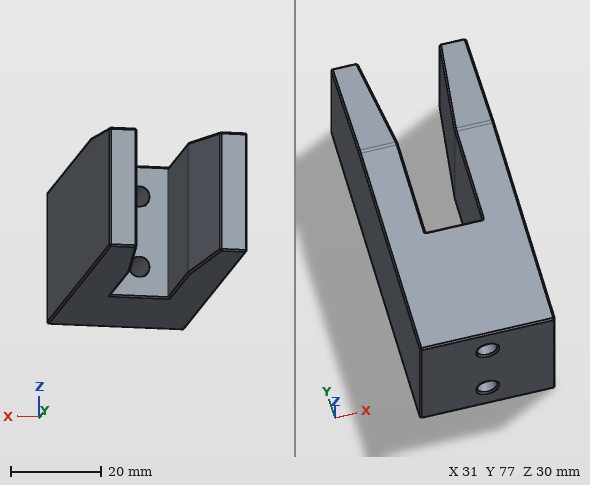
import cadquery as cq

width = 31.0
length = 77.0
height = 30.0
edge_chamfer = 0.4

jaw_taper_length = 24.0
bend_y = length - jaw_taper_length
tip_drop = 3.0
top_bend_radius = 6.9
slot_bend_radius = 5.0

slot_width = 13.0
slot_mouth_width = 18.8
slot_depth = 47.9
slot_end_y = length - slot_depth
slot_corner_radius = 0.2

hole_diameter = 4.6
hole_spacing = 16.0
hole_chamfer = 0.4


def near(y, within_slot):
    """Box selector for edges whose centre lies at the given Y."""
    tolerance = 0.1
    half_x = slot_width if within_slot else width
    return cq.selectors.BoxSelector(
        (-half_x, y - tolerance, -height),
        (half_x, y + tolerance, 2 * height),
    )


def make_body():
    """Block whose top slopes down towards the jaw tips."""
    profile = [
        (0, 0),
        (length, 0),
        (length, height - tip_drop),
        (bend_y, height),
        (0, height),
    ]
    body = cq.Workplane("YZ").polyline(profile).close().extrude(width / 2, both=True)
    return body.edges("|X").edges(near(bend_y, False)).fillet(top_bend_radius)


def make_slot():
    """Straight slot that flares towards the open end."""
    half = slot_width / 2
    half_mouth = slot_mouth_width / 2
    outline = [
        (-half, slot_end_y),
        (half, slot_end_y),
        (half, bend_y),
        (half_mouth, length),
        (-half_mouth, length),
        (-half, bend_y),
    ]
    slot = cq.Workplane("XY").polyline(outline).close().extrude(height)
    slot = slot.edges("|Z").edges(near(bend_y, True)).fillet(slot_bend_radius)
    return slot.edges("|Z").edges(near(slot_end_y, True)).fillet(slot_corner_radius)


def chamfer_outer_edges(body):
    """Break every sharp edge; the bends and slot corners stay smooth."""
    rims = body.faces("<Y or >Y or <X or >X or <Z").edges()
    top = body.faces(">Z").edges("not |X")
    slot_end = body.faces(">Z").edges("|X").edges(near(slot_end_y, True))
    return body.newObject(rims.vals() + top.vals() + slot_end.vals()).chamfer(edge_chamfer)


def make_holes():
    """Two round holes, stacked in Z, each with a chamfered entry."""
    radius = hole_diameter / 2
    entry_radius = radius + hole_chamfer
    profile = [
        (0, 0),
        (entry_radius, 0),
        (radius, hole_chamfer),
        (radius, slot_end_y + edge_chamfer),
        (0, slot_end_y + edge_chamfer),
    ]
    hole = cq.Workplane("XY").polyline(profile).close().revolve(360, (0, 0), (0, 1))
    holes = cq.Workplane("XY")
    for side in (-1, 1):
        holes = holes.add(hole.translate((0, 0, height / 2 + side * hole_spacing / 2)))
    return holes.combine()


forked_body = make_body().cut(make_slot())
result = chamfer_outer_edges(forked_body).cut(make_holes())